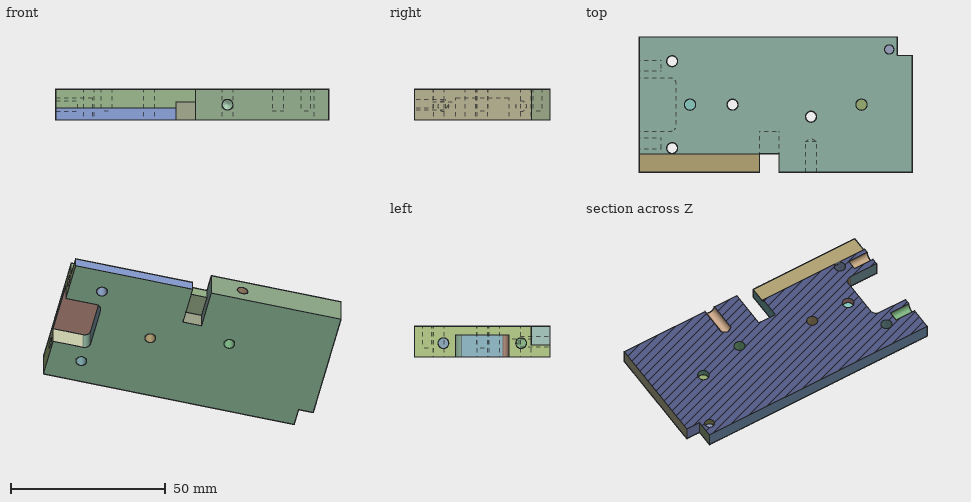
import cadquery as cq
import math

length = 88.25
width = 43.8
height = 10.0
mid_y = width / 2

step_depth = 6.0
ledge_height = 4.0
ledge_length = 38.9
gap_end = 45.1

notch_length = 4.85

pocket_length = 12.0
pocket_width = 17.3
pocket_height = 7.15
pocket_corner_radius = 2.0

slot_height = 5.9
slot_end = mid_y - pocket_width / 2

through_diameter = 3.4
through_centers = [(10.7, 7.85), (10.7, 35.9), (30.2, mid_y), (55.5, 18.0)]
pin_diameter = 3.6
top_blind_depth = 7.1
pin_spacing = 55.3
corner_hole_diameter = 3.0
corner_hole_center = (80.75, 39.7)

end_hole_diameter = 3.4
end_hole_depth = 7.1
end_hole_spacing = 25.1
end_hole_z = 4.5
front_hole_diameter = 3.4
front_hole_depth = 10.0
front_hole_x = 55.5
front_hole_z = height / 2
drill_tip_angle = 118.0


def block(x_range, y_range, z_range):
    """Box between the given limits along each axis."""
    (x0, x1), (y0, y1), (z0, z1) = x_range, y_range, z_range
    return cq.Workplane("XY").box(x1 - x0, y1 - y0, z1 - z0, centered=False).translate((x0, y0, z0))


def bore(diameter, depth, start, direction):
    """Flat-bottomed cylinder from a start point along a direction."""
    return cq.Workplane(cq.Solid.makeCylinder(diameter / 2, depth, cq.Vector(*start), cq.Vector(*direction)))


def underside_pocket():
    """Pocket with its two inner vertical corners rounded."""
    y_range = (mid_y - pocket_width / 2, mid_y + pocket_width / 2)
    pocket = block((0, pocket_length), y_range, (0, pocket_height))
    return pocket.edges("|Z and >X").fillet(pocket_corner_radius)


def front_drilling():
    """Drilled hole with a conical tip, entering from the front face."""
    radius = front_hole_diameter / 2
    tip_length = radius / math.tan(math.radians(drill_tip_angle / 2))
    inward = (0, 1, 0)
    hole = bore(front_hole_diameter, front_hole_depth, (front_hole_x, 0, front_hole_z), inward)
    tip_base = cq.Vector(front_hole_x, front_hole_depth, front_hole_z)
    return hole.union(cq.Workplane(cq.Solid.makeCone(radius, 0, tip_length, tip_base, cq.Vector(*inward))))


result = block((0, length), (0, width), (0, height))
result = result.cut(block((0, gap_end), (0, step_depth), (ledge_height, height)))
result = result.cut(block((ledge_length, gap_end), (0, step_depth), (0, height)))
result = result.cut(block((length - notch_length, length), (width - step_depth, width), (0, height)))

result = result.cut(underside_pocket())
result = result.cut(block((ledge_length, gap_end), (0, slot_end), (0, slot_height)))

for x, y in through_centers:
    result = result.cut(bore(through_diameter, height, (x, y, 0), (0, 0, 1)))

for side in (-1, 1):
    pin_x = length / 2 + side * pin_spacing / 2
    result = result.cut(bore(pin_diameter, top_blind_depth, (pin_x, mid_y, height), (0, 0, -1)))
result = result.cut(bore(corner_hole_diameter, top_blind_depth, (*corner_hole_center, height), (0, 0, -1)))

for side in (-1, 1):
    hole_y = mid_y + side * end_hole_spacing / 2
    result = result.cut(bore(end_hole_diameter, end_hole_depth, (0, hole_y, end_hole_z), (1, 0, 0)))

result = result.cut(front_drilling())